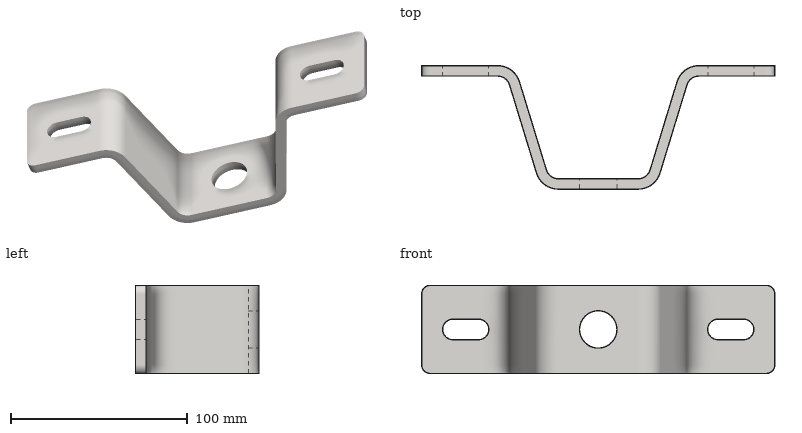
import cadquery as cq
import math

length = 200.0
depth = 70.0
height = 50.0

thickness = 6.0
inner_bend_radius = 7.0
outer_bend_radius = inner_bend_radius + thickness
leg_angle = math.radians(17.0)
floor_half_width = 32.2

corner_radius = 5.0
slot_spacing = 150.0
slot_length = 26.0
slot_width = 11.5
floor_hole_diameter = 21.0

floor_front_y = -depth
floor_back_y = floor_front_y + thickness
flange_front_y = -thickness

turn_angle = math.pi / 2 - leg_angle
corner_shift = thickness * math.tan(turn_angle / 2)
leg_spread = (depth - thickness) * math.tan(leg_angle)
floor_outer_x = floor_half_width
floor_inner_x = floor_outer_x - corner_shift
flange_front_x = floor_outer_x + leg_spread
flange_back_x = floor_inner_x + leg_spread


def sharp_strip():
    """Hat-shaped strip of constant thickness with unrounded bends, centred on Z = 0."""
    right_half = [
        (floor_outer_x, floor_front_y),
        (flange_front_x, flange_front_y),
        (length / 2, flange_front_y),
        (length / 2, 0),
        (flange_back_x, 0),
        (floor_inner_x, floor_back_y),
    ]
    left_half = [(-x, y) for x, y in reversed(right_half)]
    outline = cq.Workplane("XY").polyline(right_half + left_half).close()
    return outline.extrude(height / 2, both=True)


def round_edges(body, x, y, radius):
    """Round the upright edges at (x, y) and at its mirror image (-x, y)."""
    for side in (-1, 1):
        body = body.edges(cq.selectors.NearestToPointSelector((side * x, y, 0))).fillet(radius)
    return body


def round_bends(body):
    """Round both faces of all four bends about common bend centres."""
    body = round_edges(body, floor_outer_x, floor_front_y, outer_bend_radius)
    body = round_edges(body, floor_inner_x, floor_back_y, inner_bend_radius)
    body = round_edges(body, flange_front_x, flange_front_y, inner_bend_radius)
    return round_edges(body, flange_back_x, 0, outer_bend_radius)


def round_flange_corners(body):
    """Round the free corners of both flanges, through their thickness."""
    return body.faces("<X or >X").edges("|Y").fillet(corner_radius)


def openings():
    """Cutters for the two flange slots and the round floor hole, running along Y."""
    plane = cq.Workplane("XZ")
    slots = (
        plane.pushPoints([(-slot_spacing / 2, 0), (slot_spacing / 2, 0)])
        .slot2D(slot_length, slot_width)
        .extrude(depth)
    )
    hole = plane.circle(floor_hole_diameter / 2).extrude(depth)
    return slots.add(hole).combine()


result = round_flange_corners(round_bends(sharp_strip())).cut(openings())